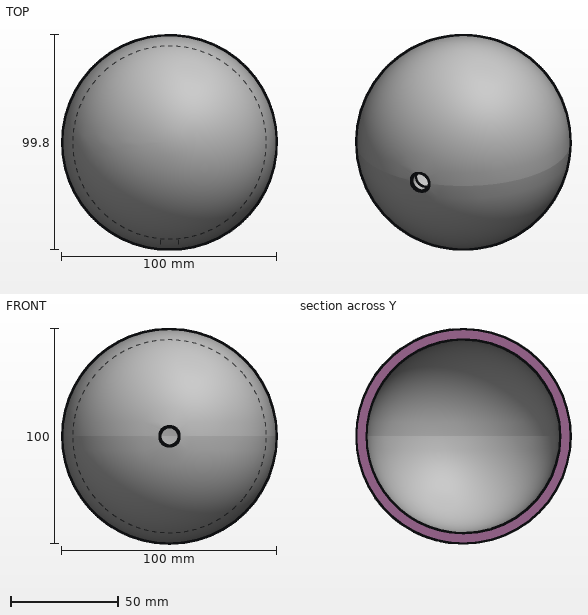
import cadquery as cq
import math

ball_diameter = 100.0
wall_thickness = 5.0
ball_radius = ball_diameter / 2
cavity_radius = ball_radius - wall_thickness

hole_diameter = 8.5
rim_diameter = 9.5
bore_radius = hole_diameter / 2
rim_radius = rim_diameter / 2

overrun = 1.0


def make_half_shell(pole_side):
    """Hemispherical shell above (+1) or below (-1) the equator, turned about Z."""
    outer_diagonal = ball_radius * math.sqrt(0.5)
    inner_diagonal = cavity_radius * math.sqrt(0.5)
    profile = (
        cq.Workplane("XZ")
        .moveTo(-ball_radius, 0)
        .threePointArc((-outer_diagonal, pole_side * outer_diagonal), (0, pole_side * ball_radius))
        .lineTo(0, pole_side * cavity_radius)
        .threePointArc((-inner_diagonal, pole_side * inner_diagonal), (-cavity_radius, 0))
        .close()
    )
    return profile.revolve(360, (0, 0), (0, 1))


def make_hole_cutter():
    """Bore with a 45 degree entry chamfer, turned about the Y axis."""
    rim_y = -math.sqrt(ball_radius**2 - rim_radius**2)
    chamfer_end_y = rim_y + rim_radius - bore_radius
    outer_y = rim_y - overrun
    inner_y = -cavity_radius + overrun
    profile = (
        cq.Workplane("YZ")
        .moveTo(outer_y, 0)
        .lineTo(outer_y, -rim_radius - overrun)
        .lineTo(chamfer_end_y, -bore_radius)
        .lineTo(inner_y, -bore_radius)
        .lineTo(inner_y, 0)
        .close()
    )
    return profile.revolve(360, (0, 0), (1, 0))


shell = make_half_shell(1).union(make_half_shell(-1), clean=False)
result = shell.cut(make_hole_cutter(), clean=False)